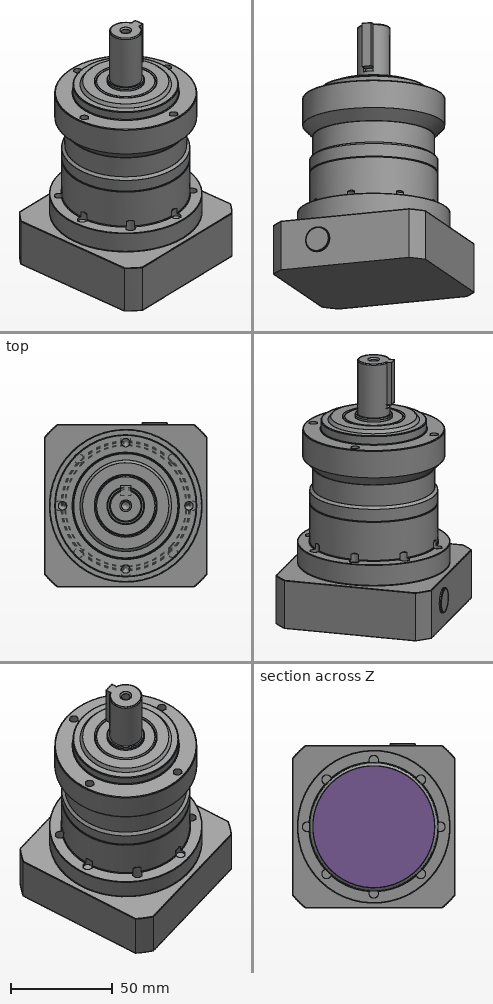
import cadquery as cq
import math

base_side = 80.0
base_corner_radius = 52.3
base_edge_chamfer = 0.3
base_top = 24.8

foot_chamfer = 0.4
flange_radius = 37.6
flange_top = 35.9
flange_edge_chamfer = 0.3
flange_undercut = 0.4
body_radius = 63.0 / 2
joint_groove_z = 55.9
joint_groove_height = 0.4
joint_groove_depth = 0.4
body_shoulder_bottom = 62.7
body_shoulder_top = 63.8
neck_radius = 30.0
head_bottom = 74.8
head_cone_radius = 29.6
head_cone_top = 80.1
head_radius = 35.0
head_top = 94.1
head_edge_chamfer = 0.4
pilot_radius = 26.0
pilot_top = 98.8
pilot_edge_chamfer = 0.4
cap_base_radius = 22.5
cap_top_radius = 21.2
cap_top = 100.5
cap_groove_outer_radius = 15.5
cap_groove_inner_radius = 14.3
cap_groove_depth = 0.6
collar_radius = 9.2
collar_rim_radius = 8.8
collar_rim_bottom = 101.5
collar_top = 102.2

shaft_radius = 16.0 / 2
shaft_top = 130.0
shaft_edge_chamfer = 0.5
key_width = 5.0
key_length = 22.0
key_inner_y = 5.1
key_outer_y = 10.0
keyway_length = 24.0
centre_hole_radius = 2.1
centre_hole_mouth_radius = 2.9
centre_hole_depth = 13.0

mount_hole_count = 4
mount_hole_circle_radius = 31.1
mount_hole_radius = 2.1
mount_hole_depth = 10.4

pocket_count = 8
pocket_circle_radius = 32.8
pocket_radius = 2.3
pocket_top = 38.9
shallow_pocket_depth = 1.3
deep_pocket_depth = flange_top - base_top

plug_radius = 6.2
plug_height = 1.0
plug_edge_chamfer = 0.4
plug_x = 14.2
plug_z = 13.6

DRILL_POINT_ANGLE = 118


def drill(radius, start_z, end_z):
    """Drill-shaped cutter on the Z axis; its conical point lies beyond end_z."""
    direction = math.copysign(1, end_z - start_z)
    tip_z = end_z + direction * radius / math.tan(math.radians(DRILL_POINT_ANGLE / 2))
    outline = [(0, start_z), (radius, start_z), (radius, end_z), (0, tip_z)]
    return cq.Workplane("XZ").polyline(outline).close().revolve(360, (0, 0, 0), (0, 1, 0))


def on_circle(tool, circle_radius, angle):
    """Move a tool from the Z axis to a place on a circle around it."""
    return tool.translate((circle_radius, 0, 0)).rotate((0, 0, 0), (0, 0, 1), angle)


def make_base():
    """Square block with corners turned round about the Z axis, and its side plug."""
    base = cq.Workplane("XY").rect(base_side, base_side).extrude(base_top)
    corner_limit = cq.Workplane("XY").circle(base_corner_radius).extrude(base_top)
    base = base.intersect(corner_limit)
    base = base.faces(">Z").chamfer(base_edge_chamfer)
    plug = (
        cq.Workplane("XZ", origin=(plug_x, base_side / 2, plug_z))
        .circle(plug_radius)
        .extrude(-plug_height)
        .faces(">Y")
        .chamfer(plug_edge_chamfer)
    )
    return base.union(plug)


def make_turned_body():
    """Flange, body, neck, head, pilot, cap, collar and shaft turned as one profile."""
    outline = [
        (0, base_top),
        (flange_radius - flange_undercut, base_top),
        (flange_radius - flange_undercut, base_top + flange_undercut),
        (flange_radius, base_top + flange_undercut),
        (flange_radius, flange_top - flange_edge_chamfer),
        (flange_radius - flange_edge_chamfer, flange_top),
        (body_radius + foot_chamfer, flange_top),
        (body_radius, flange_top + foot_chamfer),
        (body_radius, joint_groove_z),
        (body_radius - joint_groove_depth, joint_groove_z),
        (body_radius - joint_groove_depth, joint_groove_z + joint_groove_height),
        (body_radius, joint_groove_z + joint_groove_height),
        (body_radius, body_shoulder_bottom),
        (neck_radius, body_shoulder_top),
        (neck_radius, head_bottom),
        (head_cone_radius, head_bottom),
        (head_radius, head_cone_top),
        (head_radius, head_top - head_edge_chamfer),
        (head_radius - head_edge_chamfer, head_top),
        (pilot_radius + foot_chamfer, head_top),
        (pilot_radius, head_top + foot_chamfer),
        (pilot_radius, pilot_top - pilot_edge_chamfer),
        (pilot_radius - pilot_edge_chamfer, pilot_top),
        (cap_base_radius, pilot_top),
        (cap_top_radius, cap_top),
        (cap_groove_outer_radius, cap_top),
        ((cap_groove_outer_radius + cap_groove_inner_radius) / 2, cap_top - cap_groove_depth),
        (cap_groove_inner_radius, cap_top),
        (collar_radius, cap_top),
        (collar_radius, collar_rim_bottom),
        (collar_rim_radius, collar_top),
        (shaft_radius, collar_top),
        (shaft_radius, shaft_top - shaft_edge_chamfer),
        (shaft_radius - shaft_edge_chamfer, shaft_top),
        (0, shaft_top),
    ]
    return cq.Workplane("XZ").polyline(outline).close().revolve(360, (0, 0, 0), (0, 1, 0))


def cut_mount_holes(part):
    hole = drill(mount_hole_radius, head_top, head_top - mount_hole_depth)
    for i in range(mount_hole_count):
        part = part.cut(on_circle(hole, mount_hole_circle_radius, i * 360 / mount_hole_count))
    return part


def cut_screw_pockets(part):
    """Shallow pockets lie on the X and Y axes, deep ones between them."""
    shallow = drill(pocket_radius, flange_top - shallow_pocket_depth, pocket_top)
    deep = drill(pocket_radius, flange_top - deep_pocket_depth, pocket_top)
    for i in range(pocket_count):
        pocket = shallow if i % 2 == 0 else deep
        part = part.cut(on_circle(pocket, pocket_circle_radius, i * 360 / pocket_count))
    return part


def key_block(length):
    """Block with the key's section, reaching down from the shaft end."""
    depth = key_outer_y - key_inner_y
    middle_y = (key_outer_y + key_inner_y) / 2
    return cq.Workplane("XY", origin=(0, middle_y, shaft_top)).rect(key_width, depth).extrude(-length)


def finish_shaft(part):
    """Fit the key, whose keyway runs on below it, and drill the centre hole."""
    part = part.cut(key_block(keyway_length))
    part = part.union(key_block(key_length))
    part = part.cut(drill(centre_hole_radius, shaft_top, shaft_top - centre_hole_depth))
    mouth_depth = centre_hole_mouth_radius - centre_hole_radius
    mouth = cq.Solid.makeCone(
        centre_hole_radius,
        centre_hole_mouth_radius,
        mouth_depth,
        pnt=cq.Vector(0, 0, shaft_top - mouth_depth),
    )
    return part.cut(cq.Workplane(mouth))


result = make_base().union(make_turned_body())
result = cut_mount_holes(result)
result = cut_screw_pockets(result)
result = finish_shaft(result)